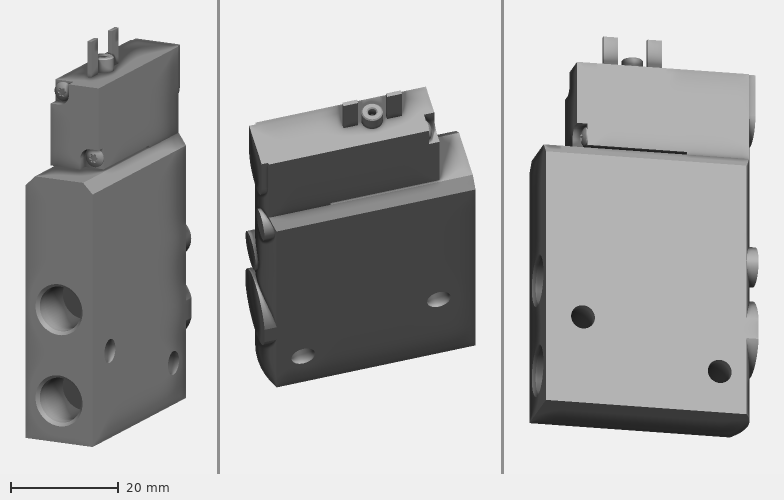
import cadquery as cq
import math


width = 14.0
side_depth = 38.1
back_depth = 39.9

split_height = 35.0
cover_top = 50.55
coil_bottom = 51.05
coil_top = 67.1
total_height = 74.0

port_diameter = 8.6
port_chamfer = 0.6
port_depth = 10.0
port_heights = (8.0, 25.5)
mount_diameter = 4.5
mount_places = ((7.0, 16.7), (33.0, 8.0))

boss_root = 35.5
low_boss_face = 40.4
high_boss_face = 40.3
large_boss_diameter = 14.5
large_boss_height = 16.8
side_boss_diameter = 7.5
side_boss_x = 3.2
side_boss_height = 30.05
cover_boss_diameter = 6.0
cover_boss_x = -3.6
cover_boss_height = 47.1
tongue_width = 9.2
tongue_height = 59.1

cover_chamfer = 2.0
head_width = width - 2 * cover_chamfer
coil_front = 6.4
adapter_front = 27.2

blade_thickness = 0.8
blade_depth = 2.8
blade_spacing = 8.35
connector_y = 18.0
post_diameter = 4.0
post_top = 69.85
post_edge = 0.2
post_hole_diameter = 1.55
post_hole_chamfer = 0.2
post_mouth_angle = 90
post_hole_depth = 2.0

pocket_radius = 2.1
pocket_depth = 2.0
screw_x = 3.25
screw_diameter = 3.6
screw_rim = 0.2
dome_height = 0.7
lobe_count = 6
lobe_diameter = 0.5
recess_diameter = 1.8
recess_depth = 0.5


def valve_block(bottom, top, block_width):
    """Upright block with a flat front; its back follows the common crown arc."""
    sag = back_depth - side_depth
    radius = ((width / 2) ** 2 + sag ** 2) / (2 * sag)
    half = block_width / 2
    corner_y = back_depth - radius + math.sqrt(radius ** 2 - half ** 2)
    return (
        cq.Workplane("XY", origin=(0, 0, bottom))
        .moveTo(-half, 0)
        .lineTo(half, 0)
        .lineTo(half, corner_y)
        .threePointArc((0, back_depth), (-half, corner_y))
        .close()
        .extrude(top - bottom)
    )


def slab(x_range, y_range, z_range):
    """Box given by its limits along each axis."""
    sizes = [high - low for low, high in (x_range, y_range, z_range)]
    corner = (x_range[0], y_range[0], z_range[0])
    return cq.Workplane("XY").box(*sizes, centered=False).translate(corner)


def rod_along_y(x, z, diameter, start, end):
    """Cylinder parallel to Y."""
    return (
        cq.Workplane("XZ", origin=(x, start, z))
        .circle(diameter / 2)
        .extrude(start - end)
    )


def port(height):
    """Blind port in the front face with a chamfered mouth."""
    bore = rod_along_y(0, height, port_diameter, 0, port_depth)
    mouth = (
        cq.Workplane("XZ", origin=(0, 0, height))
        .circle(port_diameter / 2 + port_chamfer)
        .workplane(offset=-port_chamfer)
        .circle(port_diameter / 2)
        .loft(ruled=True)
    )
    return bore.union(mouth)


def make_valve_body():
    body = valve_block(0, split_height, width)
    large_boss = rod_along_y(0, large_boss_height, large_boss_diameter, boss_root, low_boss_face)
    side_limits = slab((-width / 2, width / 2), (0, low_boss_face), (0, split_height))
    body = body.union(large_boss.intersect(side_limits))
    body = body.union(
        rod_along_y(side_boss_x, side_boss_height, side_boss_diameter, boss_root, low_boss_face)
    )
    for height in port_heights:
        body = body.cut(port(height))
    mount_holes = (
        cq.Workplane("YZ")
        .pushPoints(mount_places)
        .circle(mount_diameter / 2)
        .extrude(width, both=True)
    )
    return body.cut(mount_holes)


def make_cover():
    """Lower part of the pilot unit, with chamfered long top edges and one boss."""
    cover = valve_block(split_height, cover_top, width)
    half = width / 2
    roof = (
        cq.Workplane("XZ")
        .moveTo(-half, split_height)
        .lineTo(half, split_height)
        .lineTo(half, cover_top - cover_chamfer)
        .lineTo(half - cover_chamfer, cover_top)
        .lineTo(cover_chamfer - half, cover_top)
        .lineTo(-half, cover_top - cover_chamfer)
        .close()
        .extrude(-back_depth)
    )
    boss = rod_along_y(
        cover_boss_x, cover_boss_height, cover_boss_diameter, boss_root, high_boss_face
    )
    return cover.intersect(roof).union(boss)


def make_head():
    """Coil and adapter in one block; the coil overhangs the cover with a thin gap."""
    half = head_width / 2
    head = valve_block(cover_top, coil_top, head_width)
    head = head.cut(slab((-half, half), (0, coil_front), (cover_top, coil_top)))
    head = head.cut(slab((-half, half), (0, adapter_front), (cover_top, coil_bottom)))
    tongue_half = tongue_width / 2
    tongue_end = rod_along_y(0, tongue_height, tongue_width, boss_root, high_boss_face)
    tongue = slab(
        (-tongue_half, tongue_half), (boss_root, high_boss_face), (tongue_height, coil_top)
    )
    return head.union(tongue_end).union(tongue)


def screw_pocket(side, z, up):
    """Round-cornered pocket open to the coil's side and to its top (up=1) or bottom (up=-1)."""
    start = coil_front
    end = coil_front + pocket_depth
    x = side * screw_x
    inner_x = x - side * pocket_radius
    outer_x = side * head_width
    inner_z = z - up * pocket_radius
    outer_z = z + up * pocket_radius
    pocket = rod_along_y(x, z, 2 * pocket_radius, start, end)
    across = slab(sorted((x, outer_x)), (start, end), sorted((inner_z, outer_z)))
    upright = slab(sorted((inner_x, outer_x)), (start, end), sorted((z, outer_z)))
    return pocket.union(across).union(upright)


def screw_head(x, z):
    """Domed head with a six-lobe recess, standing on the pocket floor."""
    floor = coil_front + pocket_depth
    rim_y = floor - screw_rim
    crown_y = rim_y - dome_height
    base_radius = screw_diameter / 2
    dome_radius = (base_radius ** 2 + dome_height ** 2) / (2 * dome_height)
    middle_x = base_radius / 2
    middle_y = crown_y + dome_radius - math.sqrt(dome_radius ** 2 - middle_x ** 2)
    head = (
        cq.Workplane("XY")
        .moveTo(0, floor)
        .lineTo(base_radius, floor)
        .lineTo(base_radius, rim_y)
        .threePointArc((middle_x, middle_y), (0, crown_y))
        .close()
        .revolve(360, (0, 0, 0), (0, 1, 0))
    )
    lobe_circle = (recess_diameter - lobe_diameter) / 2
    recess_floor = crown_y + recess_depth
    head = head.cut(rod_along_y(0, 0, 2 * lobe_circle, crown_y, recess_floor))
    for index in range(lobe_count):
        angle = 2 * math.pi * index / lobe_count
        lobe_x = lobe_circle * math.cos(angle)
        lobe_z = lobe_circle * math.sin(angle)
        head = head.cut(rod_along_y(lobe_x, lobe_z, lobe_diameter, crown_y, recess_floor))
    return head.translate((x, 0, z))


def make_connector():
    """Two contact blades and the drilled post between them."""
    blades = (
        cq.Workplane("XY", origin=(0, connector_y, coil_top))
        .rarray(0.75, blade_spacing, 1, 2)
        .rect(blade_thickness, blade_depth)
        .extrude(total_height - coil_top)
    )
    mouth_diameter = post_hole_diameter + 2 * post_hole_chamfer
    post = (
        cq.Workplane("XY", origin=(0, connector_y, coil_top))
        .circle(post_diameter / 2)
        .extrude(post_top - coil_top)
        .faces(">Z")
        .chamfer(post_edge)
        .faces(">Z")
        .workplane()
        .cskHole(post_hole_diameter, mouth_diameter, post_mouth_angle, post_hole_depth)
    )
    return blades.union(post)


def make_pilot_unit():
    pilot = make_cover().union(make_head()).union(make_connector())
    corners = (
        (-1, coil_top - pocket_radius, 1),
        (1, coil_bottom + pocket_radius, -1),
    )
    for side, z, up in corners:
        pilot = pilot.cut(screw_pocket(side, z, up))
        pilot = pilot.union(screw_head(side * screw_x, z))
    return pilot


valve_body = make_valve_body()
pilot_unit = make_pilot_unit()

result = cq.Compound.makeCompound([valve_body.val(), pilot_unit.val()])